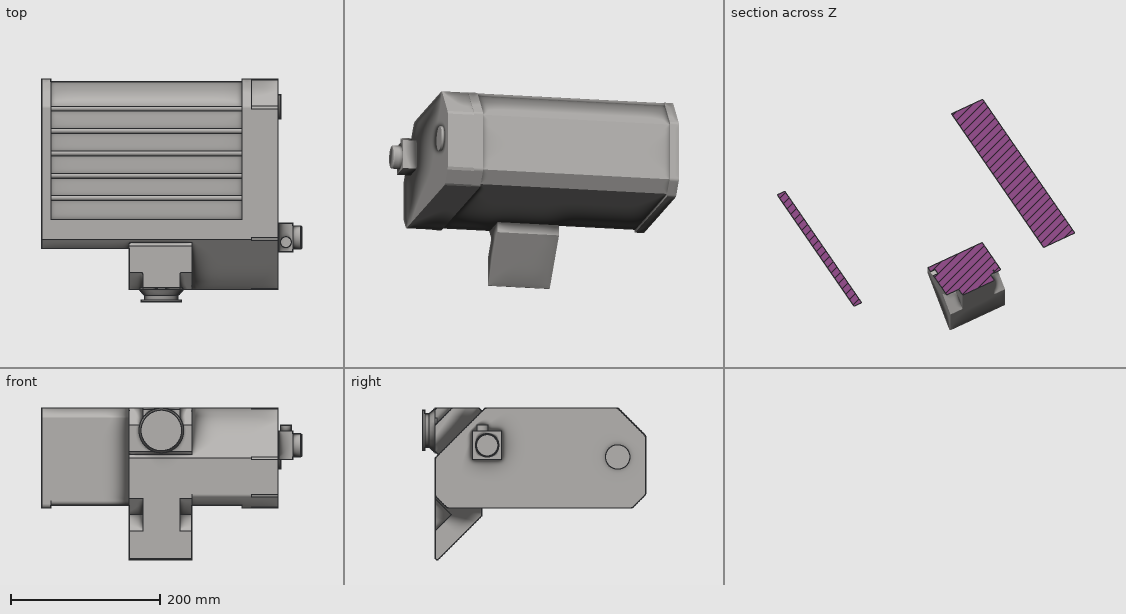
import cadquery as cq
import math


housing_length = 316.5
housing_height = 134.5
back_y = 282.0
plain_front_y = 54.5
top_back_chamfer = 37.3
bottom_chamfer = 18.5
head_bottom_chamfer = 16.5
head_bottom_round = 5.0
slope_leg = 67.2
left_plate_end = 12.2
right_plate_start = 268.0
cap_start = 280.5
core_inset = 4.0
core_recess_front_y = 94.0
plate_edge_round = 5.5
front_top_round = 3.5
cap_edge_bevel = 2.25
cap_back_chamfer = 38.3

rib_count = 5
rib_radius = 3.3
rib_pitch = 30.0
first_rib_y = 122.2

arm_left = 117.0
arm_width = 84.0
arm_depth = 62.7
arm_shoulder_z = -10.0
arm_bottom_z = -69.3
arm_tip_bevel = 2.0
tongue_width = 49.5
tongue_middle = 160.0
tongue_top_bevel = 2.5
arm_notch_depth = 21.5
arm_notch_z = -8.7
block_notch_leg = 23.0
block_notch_round = 2.5
block_edge_bevel = 6.3
block_side_bevel = 1.5
side_slit_length = 13.5
side_slit_depth = 7.0

knob_z = 104.0
knob_base_radius = 30.0
knob_neck_radius = 22.5
knob_disc_radius = 27.0
knob_cone_end = 8.0
knob_disc_start = 14.0
knob_length = 16.7

connector_y = 69.5
connector_z = 84.3
connector_side = 38.5
connector_start = 317.5
connector_box_end = 336.5
connector_end = 348.2
connector_radius = 15.5
connector_rim_bevel = 1.5
connector_pad_side = 34.8
button_x = 327.0
button_y = 63.5
button_radius = 7.3
button_top_z = 111.5
cover_y = 244.5
cover_z = 68.5
cover_radius = 16.5
cover_thickness = 4.0

arm_right = arm_left + arm_width
inset_corner_shift = math.tan(math.radians(22.5))
slope_bottom_z = housing_height - slope_leg
plain_slope_z = slope_bottom_z + plain_front_y

plain_front = [
    (slope_leg, housing_height),
    (plain_front_y, plain_slope_z),
    (plain_front_y, 0),
]
head_front = [
    (slope_leg, housing_height),
    (0, slope_bottom_z),
    (0, head_bottom_chamfer),
    (head_bottom_chamfer, 0),
]


def prism(points, start, end):
    """Extrude a (Y, Z) outline along X."""
    return cq.Workplane("YZ", origin=(start, 0, 0)).polyline(points).close().extrude(end - start)


def box(x_range, y_range, z_range):
    """Axis-aligned box given by its limits."""
    size = [high - low for low, high in (x_range, y_range, z_range)]
    return cq.Workplane("XY").box(*size, centered=False).translate((x_range[0], y_range[0], z_range[0]))


def edge_at(body, point, middle_x):
    """The X-direction edge of a prism that passes through a (Y, Z) point."""
    return body.edges("|X").edges(cq.selectors.NearestToPointSelector((middle_x, *point)))


def plate_back(top_chamfer=top_back_chamfer):
    """Back half of the full outline, from the underside round to the top."""
    return [
        (back_y - bottom_chamfer, 0),
        (back_y, bottom_chamfer),
        (back_y, housing_height - top_chamfer),
        (back_y - top_chamfer, housing_height),
    ]


def core_back():
    """Back half of the core outline, inset from the plates, with the sunken top panel."""
    shift = core_inset * inset_corner_shift
    panel_z = housing_height - core_inset
    return [
        (back_y - bottom_chamfer - shift, core_inset),
        (back_y - core_inset, bottom_chamfer + shift),
        (back_y - core_inset, housing_height - top_back_chamfer - shift),
        (back_y - top_back_chamfer - shift, panel_z),
        (core_recess_front_y, panel_z),
        (core_recess_front_y, housing_height),
    ]


def raised(front):
    """Lift the bottom end of a front outline to the underside of the core."""
    end_y = front[-1][0]
    if front is head_front:
        end_y -= core_inset
    return front[:-1] + [(end_y, core_inset)]


def plain_section(front, back, start, end, underside_z):
    """Stretch of housing with the plain front and its rounded front edges."""
    body = prism(front + back, start, end)
    middle_x = (start + end) / 2
    body = edge_at(body, (plain_front_y, plain_slope_z), middle_x).fillet(front_top_round)
    return edge_at(body, (plain_front_y, underside_z), middle_x).fillet(plate_edge_round)


def round_back_edges(body, start, end):
    """Round the edges of the back chamfers of an end plate."""
    for point in plate_back():
        body = edge_at(body, point, (start + end) / 2).fillet(plate_edge_round)
    return body


def round_head_bottom(body, start, end):
    """Round the edge between the front of the head and its bottom chamfer."""
    return edge_at(body, (0, head_bottom_chamfer), (start + end) / 2).fillet(head_bottom_round)


def housing():
    """End plates, core, head and right end cap."""
    left_plate = plain_section(plain_front, plate_back(), 0, left_plate_end, 0)
    left_plate = round_back_edges(left_plate, 0, left_plate_end)
    core = plain_section(raised(plain_front), core_back(), left_plate_end, arm_left, core_inset)
    head = prism(raised(head_front) + core_back(), arm_left, right_plate_start)
    head = round_head_bottom(head, arm_left, right_plate_start)
    right_plate = prism(head_front + plate_back(), right_plate_start, cap_start)
    right_plate = round_back_edges(right_plate, right_plate_start, cap_start)
    right_plate = round_head_bottom(right_plate, right_plate_start, cap_start)
    cap = prism(head_front + plate_back(cap_back_chamfer), cap_start, housing_length)
    cap = cap.edges("|X").chamfer(cap_edge_bevel)

    return left_plate.union(core).union(head).union(right_plate).union(cap)


def ribs():
    """Round ribs along the sunken top panel."""
    panel_z = housing_height - core_inset
    centres = [(first_rib_y + i * rib_pitch, panel_z) for i in range(rib_count)]
    return (
        cq.Workplane("YZ", origin=(left_plate_end, 0, 0))
        .pushPoints(centres)
        .circle(rib_radius)
        .extrude(right_plate_start - left_plate_end)
    )


def beside_tongue():
    """X ranges of the arm to the left and right of the tongue."""
    tongue_left = tongue_middle - tongue_width / 2
    tongue_right = tongue_middle + tongue_width / 2
    return [(arm_left, tongue_left), (tongue_right, arm_right)]


def arm():
    """Hanging arm with a V notch in each side."""
    sloped_line = arm_shoulder_z - arm_depth
    body = prism(
        [
            (0, head_bottom_chamfer + head_bottom_round),
            (0, arm_bottom_z + arm_tip_bevel),
            (arm_tip_bevel, arm_bottom_z),
            (arm_bottom_z - sloped_line, arm_bottom_z),
            (arm_depth, arm_shoulder_z),
            (arm_depth, core_inset),
            (plain_front_y, head_bottom_chamfer + head_bottom_round),
        ],
        arm_left,
        arm_right,
    )
    notch = [
        (0, arm_notch_z - arm_notch_depth),
        (arm_notch_depth, arm_notch_z),
        (0, arm_notch_z + arm_notch_depth),
    ]
    for start, end in beside_tongue():
        body = body.cut(prism(notch, start, end))
    return body


def side_slit():
    """Shallow wedge in the left side of the arm, just under the plain front of the housing."""
    outline = [
        (plain_front_y, 0),
        (plain_front_y, core_inset),
        (plain_front_y - side_slit_length, core_inset),
    ]
    return prism(outline, arm_left, arm_left + side_slit_depth)


def corner_cutter(start, end):
    """Tool for an upper front corner of the block, rounded where its floor meets the tongue."""
    reach = block_notch_leg
    floor_z = housing_height - block_notch_leg
    outline = [
        (-reach, floor_z - reach),
        (block_notch_leg + reach, housing_height + reach),
        (-reach, housing_height + reach),
    ]
    tongue_side = ">X" if start == arm_left else "<X"
    floor = prism(outline, start, end).faces(cq.selectors.DirectionMinMaxSelector(cq.Vector(0, 1, -1)))
    return floor.edges(tongue_side).fillet(block_notch_round)


def clamp_block():
    """Wedge block lying on the sloped face, with its upper front corners cut away."""
    leg = block_edge_bevel / math.sqrt(2)
    block = prism(
        [
            (0, housing_height),
            (0, slope_bottom_z + 2 * leg),
            (leg, slope_bottom_z + leg),
            (slope_leg - leg, housing_height - leg),
            (slope_leg - 2 * leg, housing_height),
        ],
        arm_left,
        arm_right,
    )
    slope_face = block.faces(cq.selectors.DirectionMinMaxSelector(cq.Vector(0, 1, -1)))
    block = slope_face.edges("<X").chamfer(block_side_bevel)
    block = block.edges("|X and <Y and >Z").chamfer(tongue_top_bevel)
    for start, end in beside_tongue():
        block = block.cut(corner_cutter(start, end))
    return block


def knob():
    """Conical clamp knob with a neck and a disc."""
    seat = -tongue_top_bevel
    outline = [
        (0, seat),
        (knob_base_radius, seat),
        (knob_base_radius, 0),
        (knob_neck_radius, knob_cone_end),
        (knob_neck_radius, knob_disc_start),
        (knob_disc_radius, knob_disc_start),
        (knob_disc_radius, knob_length),
        (0, knob_length),
    ]
    return (
        cq.Workplane("XY")
        .polyline(outline)
        .close()
        .revolve(360, (0, 0, 0), (0, 1, 0))
        .rotate((0, 0, 0), (0, 0, 1), 180)
        .translate((tongue_middle, 0, knob_z))
    )


def rod_along_x(y, z, radius, start, end):
    """Cylinder along X."""
    return cq.Workplane("YZ", origin=(start, y, z)).circle(radius).extrude(end - start)


def connector():
    """Connector box on a pad, with a round socket and a button on top."""
    half = connector_side / 2
    half_pad = connector_pad_side / 2
    pad = box(
        (housing_length, connector_start),
        (connector_y - half_pad, connector_y + half_pad),
        (connector_z - half_pad, connector_z + half_pad),
    )
    body = box(
        (connector_start, connector_box_end),
        (connector_y - half, connector_y + half),
        (connector_z - half, connector_z + half),
    )
    socket = rod_along_x(connector_y, connector_z, connector_radius, connector_box_end, connector_end)
    socket = socket.faces(">X").edges().chamfer(connector_rim_bevel)
    button = (
        cq.Workplane("XY", origin=(button_x, button_y, connector_z))
        .circle(button_radius)
        .extrude(button_top_z - connector_z)
    )
    return pad.union(body).union(socket).union(button)


def cover():
    """Round cover near the back of the right end."""
    return rod_along_x(cover_y, cover_z, cover_radius, housing_length, housing_length + cover_thickness)


result = (
    housing()
    .union(ribs())
    .union(arm())
    .union(clamp_block())
    .union(knob())
    .union(connector())
    .union(cover())
    .cut(side_slit())
)